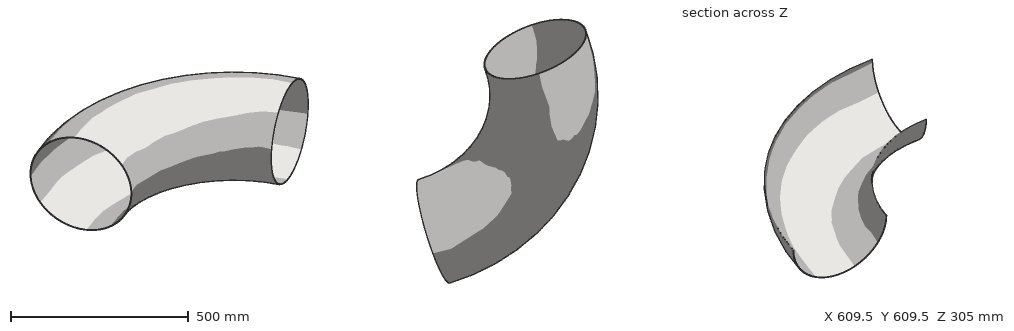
import cadquery as cq

overall_size = 609.5
outer_diameter = 305.0
wall_thickness = 2.75
bend_angle = 90.0

outer_radius = outer_diameter / 2
inner_radius = outer_radius - wall_thickness
bend_radius = overall_size - outer_radius

tube_section = cq.Workplane("XZ").circle(outer_radius).circle(inner_radius)

result = tube_section.revolve(bend_angle, (bend_radius, 6, 0), (bend_radius, 0, 0))